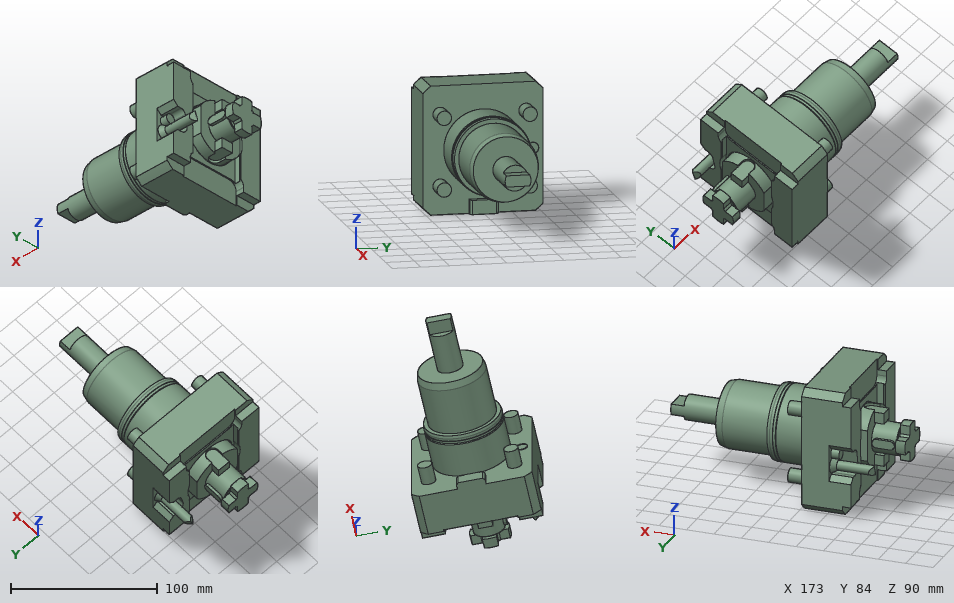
import cadquery as cq
import math


HOUSING_WIDTH = 84.0
HOUSING_HEIGHT = 90.0
HOUSING_CORNER_RADIUS = 58.0
PLATE_FRONT_X = -29.8
PAD_FRONT_X = -36.0
PAD_HALF_HEIGHT = 37.2
PAD_INNER_Y = 23.1
PAD_RELIEF_Y = 23.7
PAD_LIP = 1.3
PAD_BORE_RADIUS = 24.4

CHANNEL_WIDTH = 51.6
CHANNEL_START_Z = 26.8
CHANNEL_FLOOR_X = -28.8
CHANNEL_CORNER_RADIUS = 6.5

BODY_RADIUS = 27.5
RING_RADIUS = 27.0
GROOVE_START_X = 24.4
GROOVE_TAPER = 0.7
GROOVE_END_X = 27.0
RING_TAPER_X = 29.1
RING_END_X = 31.2
SHANK_RADIUS = 24.0
SHANK_TAPER_X = 65.0
SHANK_END_X = 70.2
SHANK_END_RADIUS = 22.7

DRIVE_RADIUS = 9.0
DRIVE_SHOULDER_X = 99.0
DRIVE_END_X = 108.3
TANG_THICKNESS = 7.8

SCREW_RADIUS = 5.0
SCREW_LENGTH = 13.0
SCREW_Y = 30.0
SCREW_Z = 25.0
LOCATOR_LENGTH = 4.7
LOCATOR_WIDTH = 20.0
LOCATOR_HEIGHT = 10.0
LOCATOR_CHAMFER = 1.6

BOSS_RADIUS = 22.0
BOSS_BORE_RADIUS = 22.4
BOSS_HALF_FLAT = 18.9
BOSS_FRONT_X = -39.1
KEY_WIDTH = 10.0
KEY_FRONT_X = -45.8
KEY_OUTER_Z = 19.6
KEY_INNER_Z = 11.7

ARBOR_RADIUS = 11.15
ARBOR_FRONT_X = -57.7
ARBOR_CHAMFER = 0.5
CROSS_FRONT_X = -64.7
CROSS_RADIUS = 14.0
CROSS_ARM_WIDTH = 9.9
CROSS_CORNER_CHAMFER = 1.5
FEATHER_FRONT_X = -56.4
FEATHER_BACK_X = -40.0
FEATHER_WIDTH = 6.4
FEATHER_TOP_Y = 12.9

POCKET_FLOOR_X = -20.0
POCKET_MOUTH_DEPTH = 3.9
PIN_Y = 34.9
PIN_Z = -10.0
PIN_RADIUS = 3.5
PIN_TIP_X = -50.8
PIN_RIDGE_ANGLE = -20.0
COLLAR_RADIUS = 6.0
COLLAR_HEIGHT = 4.0
RETAINER_Z = -1.3
RETAINER_RADIUS = 3.9
RETAINER_CLEARANCE = 0.3
RETAINER_FRONT_X = -26.0
RETAINER_BACK_X = 0.5


def x_box(x_start, x_end, y_start, y_end, z_start, z_end):
    """Box given by its limits along each axis."""
    corner = (x_start, y_start, z_start)
    return cq.Workplane("XY").box(
        x_end - x_start, y_end - y_start, z_end - z_start, centered=False
    ).translate(corner)


def x_plane(x):
    """Sketch plane facing +X, with local axes along Y and Z."""
    return cq.Workplane("YZ", origin=(x, 0, 0))


def x_cylinder(x_start, x_end, radius, y=0.0, z=0.0):
    """Cylinder along X."""
    return x_plane(x_start).center(y, z).circle(radius).extrude(x_end - x_start)


def mirrored_pair(shape, plane):
    """A shape together with its mirror image in a plane through the axis."""
    return shape.union(shape.mirror(plane))


def make_housing():
    half_width = HOUSING_WIDTH / 2
    half_height = HOUSING_HEIGHT / 2
    plate = x_box(PLATE_FRONT_X, 0, -half_width, half_width, -half_height, half_height)
    plate = plate.intersect(x_cylinder(PLATE_FRONT_X, 0, HOUSING_CORNER_RADIUS))

    pad = x_box(PAD_FRONT_X, PLATE_FRONT_X, PAD_INNER_Y, half_width, -PAD_HALF_HEIGHT, PAD_HALF_HEIGHT)
    relief = x_box(
        PAD_FRONT_X + PAD_LIP, PLATE_FRONT_X, PAD_INNER_Y, PAD_RELIEF_Y, -PAD_HALF_HEIGHT, PAD_HALF_HEIGHT
    )
    pads = mirrored_pair(pad.cut(relief), "XZ")
    pads = pads.cut(x_cylinder(PAD_FRONT_X, PLATE_FRONT_X, PAD_BORE_RADIUS))

    half_channel = CHANNEL_WIDTH / 2
    channel = x_box(
        PAD_FRONT_X, CHANNEL_FLOOR_X, -half_channel, half_channel, CHANNEL_START_Z, half_height
    )
    channel = channel.edges("|X and <Z").fillet(CHANNEL_CORNER_RADIUS)
    boss_bore = x_cylinder(PLATE_FRONT_X, CHANNEL_FLOOR_X, BOSS_BORE_RADIUS)
    return plate.union(pads).cut(mirrored_pair(channel, "XY")).cut(boss_bore)


def make_shank():
    profile = [
        (0, 0),
        (0, BODY_RADIUS),
        (GROOVE_START_X, BODY_RADIUS),
        (GROOVE_START_X + GROOVE_TAPER, RING_RADIUS),
        (GROOVE_END_X, RING_RADIUS),
        (GROOVE_END_X, BODY_RADIUS),
        (RING_TAPER_X, BODY_RADIUS),
        (RING_END_X, RING_RADIUS),
        (RING_END_X, SHANK_RADIUS),
        (SHANK_TAPER_X, SHANK_RADIUS),
        (SHANK_END_X, SHANK_END_RADIUS),
        (SHANK_END_X, 0),
    ]
    return cq.Workplane("XY").polyline(profile).close().revolve(360, (0, 0, 0), (1, 0, 0))


def make_drive_shaft():
    shaft = x_cylinder(SHANK_END_X, DRIVE_END_X, DRIVE_RADIUS)
    flat = x_box(
        DRIVE_SHOULDER_X, DRIVE_END_X, -DRIVE_RADIUS, DRIVE_RADIUS, TANG_THICKNESS / 2, DRIVE_RADIUS
    )
    return shaft.cut(mirrored_pair(flat, "XY"))


def make_screws():
    centres = [(y, z) for y in (-SCREW_Y, SCREW_Y) for z in (-SCREW_Z, SCREW_Z)]
    return x_plane(0).pushPoints(centres).circle(SCREW_RADIUS).extrude(SCREW_LENGTH)


def make_locator():
    bottom = -HOUSING_HEIGHT / 2
    half_width = LOCATOR_WIDTH / 2
    block = x_box(0, LOCATOR_LENGTH, -half_width, half_width, bottom, bottom + LOCATOR_HEIGHT)
    return block.edges("|Z and >X").chamfer(LOCATOR_CHAMFER)


def make_boss():
    boss = x_cylinder(BOSS_FRONT_X, CHANNEL_FLOOR_X, BOSS_RADIUS)
    boss = boss.intersect(
        x_box(BOSS_FRONT_X, CHANNEL_FLOOR_X, -BOSS_HALF_FLAT, BOSS_HALF_FLAT, -BOSS_RADIUS, BOSS_RADIUS)
    )
    half_key = KEY_WIDTH / 2
    keyway = (
        cq.Workplane("XY", origin=(BOSS_FRONT_X, 0, KEY_OUTER_Z))
        .slot2D(2 * (PLATE_FRONT_X - BOSS_FRONT_X), KEY_WIDTH)
        .extrude(BOSS_RADIUS - KEY_OUTER_Z)
    )
    key = x_box(KEY_FRONT_X, BOSS_FRONT_X, -half_key, half_key, KEY_INNER_Z, KEY_OUTER_Z)
    return boss.cut(mirrored_pair(keyway, "XY")).union(mirrored_pair(key, "XY"))


def make_arbor():
    arbor = x_cylinder(ARBOR_FRONT_X, BOSS_FRONT_X, ARBOR_RADIUS).faces("<X").chamfer(ARBOR_CHAMFER)

    half_arm = CROSS_ARM_WIDTH / 2
    arm = x_box(CROSS_FRONT_X, ARBOR_FRONT_X, -CROSS_RADIUS, CROSS_RADIUS, -half_arm, half_arm)
    cross = arm.union(arm.rotate((0, 0, 0), (1, 0, 0), 90))
    inner_corners = cq.selectors.BoxSelector(
        (CROSS_FRONT_X, -CROSS_ARM_WIDTH, -CROSS_ARM_WIDTH), (ARBOR_FRONT_X, CROSS_ARM_WIDTH, CROSS_ARM_WIDTH)
    )
    cross = cross.edges("|X").edges(inner_corners).chamfer(CROSS_CORNER_CHAMFER)
    cross = cross.intersect(x_cylinder(CROSS_FRONT_X, ARBOR_FRONT_X, CROSS_RADIUS))

    feather_length = FEATHER_BACK_X - FEATHER_FRONT_X
    feather_middle = (FEATHER_FRONT_X + FEATHER_BACK_X) / 2
    feather = (
        cq.Workplane("XZ")
        .center(feather_middle, 0)
        .slot2D(feather_length, FEATHER_WIDTH)
        .extrude(-FEATHER_TOP_Y)
    )
    return arbor.union(cross).union(feather)


def make_pin_pocket():
    """Pocket around the pin and the retaining screw, opening in a V through the +Y side."""
    depth = POCKET_FLOOR_X - PAD_FRONT_X
    retainer_seat = RETAINER_RADIUS + RETAINER_CLEARANCE
    top_z = RETAINER_Z + retainer_seat
    bottom_z = PIN_Z - COLLAR_RADIUS
    slope = math.asin((COLLAR_RADIUS - retainer_seat) / (RETAINER_Z - PIN_Z))

    def on_round_end(radius, centre_z, angle):
        return (PIN_Y - radius * math.cos(angle), centre_z + radius * math.sin(angle))

    upper_middle = (math.pi / 2 + slope) / 2
    lower_middle = (slope - math.pi / 2) / 2
    side_y = HOUSING_WIDTH / 2
    throat_y = side_y - POCKET_MOUTH_DEPTH
    return (
        x_plane(PAD_FRONT_X)
        .moveTo(side_y, top_z + POCKET_MOUTH_DEPTH)
        .lineTo(throat_y, top_z)
        .lineTo(PIN_Y, top_z)
        .threePointArc(
            on_round_end(retainer_seat, RETAINER_Z, upper_middle),
            on_round_end(retainer_seat, RETAINER_Z, slope),
        )
        .lineTo(*on_round_end(COLLAR_RADIUS, PIN_Z, slope))
        .threePointArc(on_round_end(COLLAR_RADIUS, PIN_Z, lower_middle), (PIN_Y, bottom_z))
        .lineTo(throat_y, bottom_z)
        .lineTo(side_y, bottom_z - POCKET_MOUTH_DEPTH)
        .close()
        .extrude(depth)
    )


def make_stop_pin():
    """Pin with a conical collar and a roof-shaped tip whose ridge is tilted about X."""
    collar_end_x = POCKET_FLOOR_X - COLLAR_HEIGHT
    collar = (
        cq.Workplane("XY")
        .polyline([
            (POCKET_FLOOR_X, 0),
            (POCKET_FLOOR_X, COLLAR_RADIUS),
            (collar_end_x, PIN_RADIUS),
            (collar_end_x, 0),
        ])
        .close()
        .revolve(360, (0, 0, 0), (1, 0, 0))
    )
    shoulder_x = PIN_TIP_X + PIN_RADIUS
    roof = (
        cq.Workplane("XY")
        .polyline([
            (PIN_TIP_X, 0),
            (shoulder_x, PIN_RADIUS),
            (POCKET_FLOOR_X, PIN_RADIUS),
            (POCKET_FLOOR_X, -PIN_RADIUS),
            (shoulder_x, -PIN_RADIUS),
        ])
        .close()
        .extrude(PIN_RADIUS, both=True)
        .rotate((0, 0, 0), (1, 0, 0), PIN_RIDGE_ANGLE)
    )
    pin = x_cylinder(PIN_TIP_X, POCKET_FLOOR_X, PIN_RADIUS).intersect(roof)
    return pin.union(collar).translate((0, PIN_Y, PIN_Z))


def make_retainer():
    return x_cylinder(RETAINER_FRONT_X, RETAINER_BACK_X, RETAINER_RADIUS, PIN_Y, RETAINER_Z)


result = (
    make_housing()
    .cut(make_pin_pocket())
    .union(make_stop_pin())
    .union(make_retainer())
    .union(make_shank())
    .union(make_drive_shaft())
    .union(make_screws())
    .union(make_locator())
    .union(make_boss())
    .union(make_arbor())
)